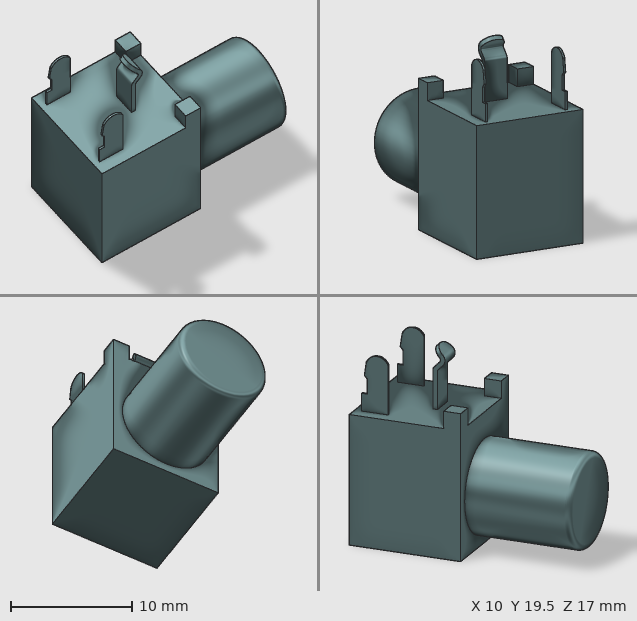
import cadquery as cq
import math

overall_length = 19.51
body_width = 10.0
body_height = 11.5
foot_size = 1.52

barrel_diameter = 8.31
barrel_length = overall_length - body_width
barrel_edge_radius = 0.5

contact_width = 2.13
contact_thickness = 0.4
contact_back_y = 5.81
contact_apex_y = 7.18
contact_apex_height = 4.39
contact_tip_height = 5.52
contact_tip_radius = 1.0
lower_bend_radius = 0.49
lower_bend_inner_radius = lower_bend_radius - contact_thickness
upper_bend_inner_radius = 0.25
upper_bend_radius = upper_bend_inner_radius + contact_thickness

blade_thickness = 0.2
blade_spacing = 7.5
blade_base_y = 0.6
blade_front_y = 2.99
blade_neck_y = 1.11
blade_barb_y = 0.85
blade_crown_y = 1.03
blade_step_height = 1.56
blade_neck_top = 2.87
blade_barb_height = 3.18
blade_shoulder_height = 4.35
blade_height = 5.0


def make_body():
    body = cq.Workplane("XY").box(body_width, body_width, body_height, centered=(True, False, False))
    foot_offset = (body_width - foot_size) / 2
    for side in (-1, 1):
        foot = (
            cq.Workplane("XY", origin=(side * foot_offset, body_width - foot_size / 2, body_height))
            .box(foot_size, foot_size, foot_size, centered=(True, True, False))
        )
        body = body.union(foot)
    return body


def make_barrel():
    return (
        cq.Workplane("XZ", origin=(0, body_width, body_width / 2))
        .circle(barrel_diameter / 2)
        .extrude(-barrel_length)
        .faces(">Y")
        .edges()
        .fillet(barrel_edge_radius)
    )


def bend_edge(y, height):
    """Select the contact edge along X that passes through the given bend corner."""
    return cq.selectors.NearestToPointSelector((0, y, body_height + height))


def make_contact():
    front_y = contact_back_y + contact_thickness
    inner_apex_y = contact_apex_y - contact_thickness * math.sqrt(2)
    front_bend_height = contact_apex_height - (contact_apex_y - front_y)
    back_bend_height = contact_apex_height - (inner_apex_y - contact_back_y)
    tip_y = contact_apex_y - (contact_tip_height - contact_apex_height)
    tip_offset = contact_thickness / math.sqrt(2)

    contact = (
        cq.Workplane("YZ", origin=(0, 0, body_height))
        .moveTo(contact_back_y, 0)
        .lineTo(contact_back_y, back_bend_height)
        .lineTo(inner_apex_y, contact_apex_height)
        .lineTo(tip_y - tip_offset, contact_tip_height - tip_offset)
        .lineTo(tip_y, contact_tip_height)
        .lineTo(contact_apex_y, contact_apex_height)
        .lineTo(front_y, front_bend_height)
        .lineTo(front_y, 0)
        .close()
        .extrude(contact_width / 2, both=True)
    )
    tip_face = cq.selectors.DirectionMinMaxSelector(cq.Vector(0, -1, 1))
    contact = contact.faces(tip_face).edges("not |X").fillet(contact_tip_radius)

    bends = [
        (contact_back_y, back_bend_height, lower_bend_radius),
        (front_y, front_bend_height, lower_bend_inner_radius),
        (inner_apex_y, contact_apex_height, upper_bend_inner_radius),
        (contact_apex_y, contact_apex_height, upper_bend_radius),
    ]
    for y, height, radius in bends:
        contact = contact.edges("|X").edges(bend_edge(y, height)).fillet(radius)
    return contact


def make_blade(center_x):
    crown_middle_y = (blade_front_y + blade_crown_y) / 2
    return (
        cq.Workplane("YZ", origin=(center_x, 0, body_height))
        .moveTo(blade_base_y, 0)
        .lineTo(blade_base_y, blade_step_height)
        .lineTo(blade_neck_y, blade_step_height)
        .lineTo(blade_neck_y, blade_neck_top)
        .lineTo(blade_barb_y, blade_barb_height)
        .lineTo(blade_crown_y, blade_shoulder_height)
        .threePointArc((crown_middle_y, blade_height), (blade_front_y, blade_shoulder_height))
        .lineTo(blade_front_y, 0)
        .close()
        .extrude(blade_thickness / 2, both=True)
    )


result = make_body().union(make_barrel()).union(make_contact())
for blade_side in (-1, 1):
    result = result.union(make_blade(blade_side * blade_spacing / 2))